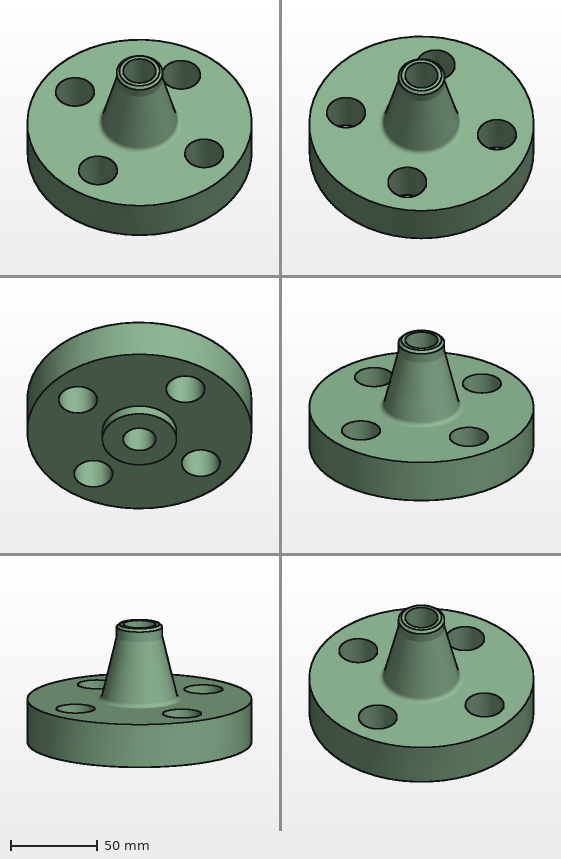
import cadquery as cq
import math

flange_diameter = 130.0
flange_thickness = 25.5

face_diameter = 42.9
face_height = 6.2

total_height = 76.2
hub_base_diameter = 44.5
hub_fillet_radius = 3.0
neck_diameter = 26.7
neck_length = 7.4
bevel_height = 1.5
land_diameter = 23.3

bore_diameter = 18.9
bolt_hole_diameter = 22.2
bolt_circle_diameter = 88.9
bolt_count = 4

flange_bottom = face_height
flange_top = flange_bottom + flange_thickness
bevel_bottom = total_height - bevel_height
neck_bottom = total_height - neck_length


def disc(diameter, bottom, height):
    """Solid cylinder on the part axis."""
    return cq.Workplane("XY").workplane(offset=bottom).circle(diameter / 2).extrude(height)


def hub():
    """Revolved hub: root fillet, taper, straight neck and bevelled weld end."""
    base_radius = hub_base_diameter / 2
    neck_radius = neck_diameter / 2
    lean = math.atan2(base_radius - neck_radius, neck_bottom - flange_top)
    half_sweep = (math.pi / 2 - lean) / 2
    setback = hub_fillet_radius * math.tan(half_sweep)
    fillet_start_radius = base_radius + setback
    fillet_middle = (
        fillet_start_radius - hub_fillet_radius * math.sin(half_sweep),
        flange_top + hub_fillet_radius * (1 - math.cos(half_sweep)),
    )
    taper_start = (
        base_radius - setback * math.sin(lean),
        flange_top + setback * math.cos(lean),
    )
    return (
        cq.Workplane("XZ")
        .moveTo(0, flange_top)
        .lineTo(fillet_start_radius, flange_top)
        .threePointArc(fillet_middle, taper_start)
        .lineTo(neck_radius, neck_bottom)
        .lineTo(neck_radius, bevel_bottom)
        .lineTo(land_diameter / 2, total_height)
        .lineTo(0, total_height)
        .close()
        .revolve(360, (0, 0, 0), (0, 1, 0))
    )


def bolt_holes():
    """Through-hole cutters, one on each of the X and Y axis directions."""
    return (
        cq.Workplane("XY")
        .workplane(offset=flange_bottom)
        .polarArray(bolt_circle_diameter / 2, 0, 360, bolt_count)
        .circle(bolt_hole_diameter / 2)
        .extrude(flange_thickness)
    )


raised_face = disc(face_diameter, 0, face_height)
flange = disc(flange_diameter, flange_bottom, flange_thickness)
bore = disc(bore_diameter, 0, total_height)

result = raised_face.union(flange).union(hub()).cut(bolt_holes()).cut(bore)